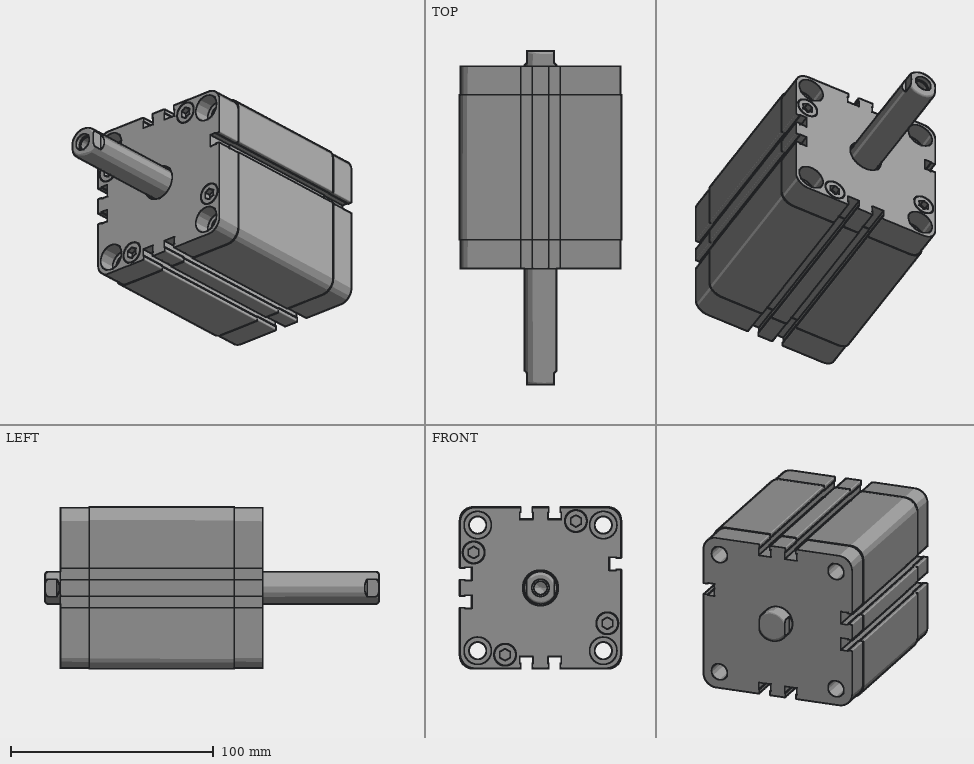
import cadquery as cq
import math

total_length = 165.0

barrel_side = 80.0
cap_step = 0.41
cap_side = barrel_side - 2 * cap_step
corner_radius = 7.0
housing_length = 100.0
cap_length = 14.2
rear_rod_projection = 7.6

rear_face_y = total_length / 2 - rear_rod_projection
front_face_y = rear_face_y - housing_length

slot_mouth_width = 5.6
slot_inner_width = 6.5
slot_lip_depth = 2.3
slot_mouth_radius = 0.5
slot_depth = 6.0
slot_offset = 7.0
single_slot_offset = 11.9

mount_offset = 31.0
mount_hole_diameter = 8.4
mount_bore_diameter = 13.5
mount_bore_depth = 8.9

screw_long_offset = 33.0
screw_short_offset = 17.5
screw_bore_diameter = 11.0
screw_head_diameter = 10.5
screw_head_height = 6.0
hex_across_flats = 5.1
hex_depth = 3.3

rod_diameter = 16.0
rod_clearance_diameter = 17.7
rod_clearance_depth = 1.6
rod_end_radius = 1.6
flat_width = 13.5
flat_length = 6.0
thread_diameter = 6.6
thread_bore_diameter = 8.5
thread_bore_depth = 2.5
thread_depth = 14.8
drill_point_angle = 118.0


def section(y):
    """Sketch plane normal to the rod: local x is X, local y is Z, extrusion runs toward +Y."""
    return cq.Workplane(cq.Plane(origin=(0, y, 0), xDir=(1, 0, 0), normal=(0, -1, 0)))


def cylinder(diameter, y, length, points=((0, 0),)):
    """Cylinders reaching from the plane at y toward +Y."""
    return section(y).pushPoints(points).circle(diameter / 2).extrude(-length)


def slot_cutter(side, y, length, offset):
    """T-slot with a rounded mouth on the +Z face of a square section of the given side."""
    top = side / 2
    mouth = slot_mouth_width / 2
    inner = slot_inner_width / 2
    rim = mouth + slot_mouth_radius
    outline = (
        section(y).center(offset, 0)
        .moveTo(-rim, top)
        .lineTo(rim, top)
        .radiusArc((mouth, top - slot_mouth_radius), -slot_mouth_radius)
        .lineTo(mouth, top - slot_lip_depth)
        .lineTo(inner, top - slot_lip_depth)
        .lineTo(inner, top - slot_depth)
        .lineTo(-inner, top - slot_depth)
        .lineTo(-inner, top - slot_lip_depth)
        .lineTo(-mouth, top - slot_lip_depth)
        .lineTo(-mouth, top - slot_mouth_radius)
        .radiusArc((-rim, top), -slot_mouth_radius)
        .close()
    )
    return outline.extrude(-length)


def housing_section(side, y, length):
    """Rounded square block with slots: pairs on three sides and a single one on +X."""
    block = section(y).rect(side, side).extrude(-length).edges("|Y").fillet(corner_radius)
    pair = (-slot_offset, slot_offset)
    slots_by_turn = {0: pair, 90: (-single_slot_offset,), 180: pair, 270: pair}
    for turn, offsets in slots_by_turn.items():
        for offset in offsets:
            cutter = slot_cutter(side, y, length, offset)
            block = block.cut(cutter.rotate((0, 0, 0), (0, 1, 0), turn))
    return block


def housing():
    barrel_y = front_face_y + cap_length
    barrel_length = housing_length - 2 * cap_length
    front_cap = housing_section(cap_side, front_face_y, cap_length)
    barrel = housing_section(barrel_side, barrel_y, barrel_length)
    rear_cap = housing_section(cap_side, rear_face_y - cap_length, cap_length)
    return front_cap.union(barrel).union(rear_cap)


def mounting_holes():
    points = [(x, z) for x in (-mount_offset, mount_offset) for z in (-mount_offset, mount_offset)]
    through = cylinder(mount_hole_diameter, front_face_y, housing_length, points)
    bores = cylinder(mount_bore_diameter, front_face_y, mount_bore_depth, points)
    return through.union(bores)


def screw_points():
    a, b = screw_long_offset, screw_short_offset
    return [(-a, b), (b, a), (a, -b), (-b, -a)]


def screw_heads():
    heads = cylinder(screw_head_diameter, front_face_y, screw_head_height, screw_points())
    hex_corner_diameter = hex_across_flats / math.cos(math.pi / 6)
    for x, z in screw_points():
        hexagon = section(front_face_y).center(x, z).transformed(rotate=(0, 0, 30))
        heads = heads.cut(hexagon.polygon(6, hex_corner_diameter).extrude(-hex_depth))
    return heads


def flat_cutter(end_y, inward, side):
    """Wrench flat at one rod end, running out to the rod surface at 45 degrees."""
    rod_radius = rod_diameter / 2
    flat_x = flat_width / 2
    runout = rod_radius - flat_x
    outline = [
        (side * flat_x, end_y),
        (side * flat_x, end_y + inward * flat_length),
        (side * (flat_x + 2 * runout), end_y + inward * (flat_length + 2 * runout)),
        (side * (flat_x + 2 * runout), end_y),
    ]
    return cq.Workplane("XY").polyline(outline).close().extrude(rod_radius, both=True)


def thread_bore():
    """Front threaded hole with a counterbore and a drill point."""
    y = -total_length / 2
    radius = thread_diameter / 2
    bore_radius = thread_bore_diameter / 2
    point_length = radius / math.tan(math.radians(drill_point_angle / 2))
    outline = [
        (0, y),
        (bore_radius, y),
        (bore_radius, y + thread_bore_depth),
        (radius, y + thread_bore_depth),
        (radius, y + thread_depth),
        (0, y + thread_depth + point_length),
    ]
    return cq.Workplane("XY").polyline(outline).close().revolve(360, (0, 0, 0), (0, 1, 0))


def piston_rod():
    rod = cylinder(rod_diameter, -total_length / 2, total_length)
    rod = rod.faces("<Y or >Y").edges().fillet(rod_end_radius)
    for end_y, inward in ((-total_length / 2, 1), (total_length / 2, -1)):
        for side in (-1, 1):
            rod = rod.cut(flat_cutter(end_y, inward, side))
    return rod.cut(thread_bore())


body = housing().cut(mounting_holes())
body = body.cut(cylinder(screw_bore_diameter, front_face_y, screw_head_height, screw_points()))
body = body.cut(cylinder(rod_clearance_diameter, front_face_y, rod_clearance_depth))

result = body.union(screw_heads()).union(piston_rod())